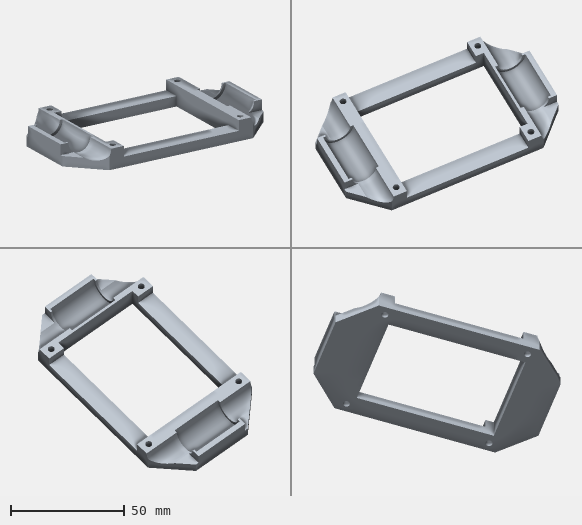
import cadquery as cq

length = 105.0
width = 60.0
height = 10.0
plate_thickness = 4.9
corner_chamfer = 15.0

opening_width = 42.8
bar_inset = 22.5
front_opening_inset = 18.6

groove_radius = 6.0
groove_inset = 10.0
seat_radius = 7.5
seat_length = 25.0
outer_wall_length = 27.0

hole_diameter = 3.0
hole_side_inset = 4.0
hole_end_inset = 19.2

raised_height = height - plate_thickness
groove_y = length / 2 - groove_inset


def octagon_prism(thickness):
    """Upright slab with its four vertical corners cut off."""
    slab = cq.Workplane("XY").box(width, length, thickness, centered=(True, True, False))
    return slab.edges("|Z").chamfer(corner_chamfer)


def raised_block(block_width, outer_inset, inner_inset, end):
    """Block on the plate, between two distances from the given end (+1 or -1)."""
    depth = inner_inset - outer_inset
    center_y = end * (length / 2 - (outer_inset + inner_inset) / 2)
    return (
        cq.Workplane("XY", origin=(0, center_y, plate_thickness))
        .box(block_width, depth, raised_height, centered=(True, True, False))
    )


def cradle_cutter(radius, cut_length, end):
    """Cylinder along X, with its axis level with the top face."""
    return (
        cq.Workplane("YZ", origin=(-cut_length / 2, end * groove_y, height))
        .circle(radius)
        .extrude(cut_length)
    )


def opening_cutter():
    back_y = length / 2 - bar_inset
    front_y = -length / 2 + front_opening_inset
    return (
        cq.Workplane("XY", origin=(0, (back_y + front_y) / 2, 0))
        .box(opening_width, back_y - front_y, height, centered=(True, True, False))
    )


def screw_hole_cutters():
    spacing_x = width - 2 * hole_side_inset
    spacing_y = length - 2 * hole_end_inset
    return (
        cq.Workplane("XY")
        .rarray(spacing_x, spacing_y, 2, 2)
        .circle(hole_diameter / 2)
        .extrude(height)
    )


result = octagon_prism(plate_thickness)
for end in (1, -1):
    result = result.union(raised_block(width, groove_inset, bar_inset, end))
    result = result.union(raised_block(outer_wall_length, 0, groove_inset, end))

result = result.intersect(octagon_prism(height))

for end in (1, -1):
    result = result.cut(cradle_cutter(groove_radius, width, end))
    result = result.cut(cradle_cutter(seat_radius, seat_length, end))

result = result.cut(opening_cutter()).cut(screw_hole_cutters())